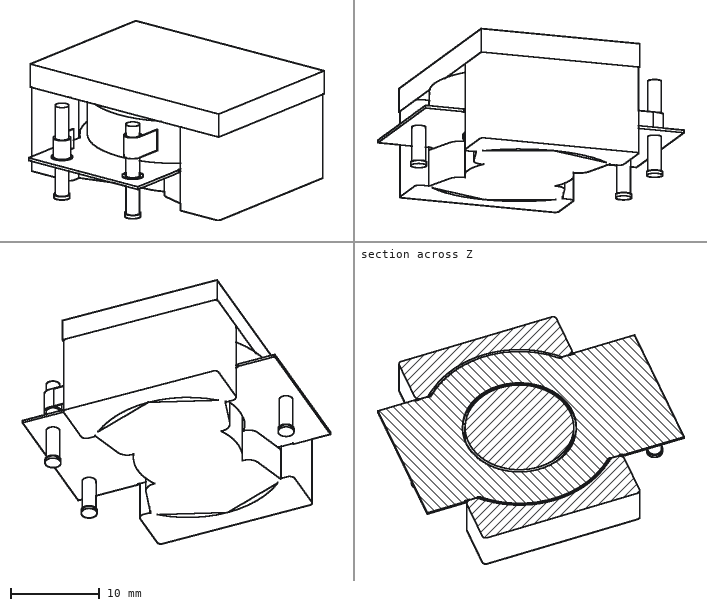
import cadquery as cq
import math

core_length = 27.3
core_width = 19.0
leg_height = 10.0
plate_thickness = 2.75
outer_corner_radius = 0.45

leg_bore_radius = 11.2
mouth_width = 15.52
leg_tip_radius = 0.65
base_height = 4.2
post_radius = 6.15
notch_half_width = 3.0
notch_corner_radius = 1.4
base_slope = math.radians(16)
lip_y = 6.6

board_width = 15.8
board_front_y = -16.9
board_back_y = 14.1
board_bottom = 4.5
board_top = 4.82
board_neck_width = mouth_width
board_disc_clearance = 0.2
board_disc_radius = leg_bore_radius - board_disc_clearance

winding_outer_radius = 10.15
winding_top = 9.8
post_clearance = 0.25
bore_radius = post_radius + post_clearance

pin_radius = 0.78
pin_top = 11.0
foot_radius = 0.9
foot_height = 0.4
collar_radius = 1.2
collar_bore_radius = 0.82
collar_height = 0.07
front_pin_x = 5.12
front_pin_y = -14.36
back_pin_y = 12.06

lead_radius = 1.0
lead_tail_thickness = 0.12
lead_end_y = -11.15
low_lead_bottom = board_top
low_lead_top = 7.12
high_lead_bottom = 7.2
high_lead_top = 9.7


def cylinder(radius, bottom, top, x=0, y=0):
    return cq.Workplane("XY", origin=(x, y, bottom)).circle(radius).extrude(top - bottom)


def block(x_min, x_max, y_min, y_max, bottom, top):
    size = (x_max - x_min, y_max - y_min, top - bottom)
    return cq.Workplane("XY", origin=(x_min, y_min, bottom)).box(*size, centered=False)


def make_legs():
    """Two outer legs: inner faces on one bore, open to a mouth with rounded tips."""
    half_mouth = mouth_width / 2
    legs = (
        cq.Workplane("XY")
        .rect(core_length, core_width)
        .extrude(leg_height)
        .edges("|Z")
        .fillet(outer_corner_radius)
        .cut(block(-half_mouth, half_mouth, -core_width / 2, core_width / 2, 0, leg_height))
    )
    tip_zone = cq.selectors.BoxSelector(
        (-half_mouth - leg_tip_radius, -core_width, 0),
        (half_mouth + leg_tip_radius, core_width, leg_height),
    )
    legs = legs.edges("|Z").edges(tip_zone).fillet(leg_tip_radius)
    return legs.cut(cylinder(leg_bore_radius, 0, leg_height))


def make_base():
    """Base web joining the legs: its long edges slope in to a notch at the post."""
    end_x = (leg_bore_radius + leg_tip_radius / 2) * math.cos(math.pi / 4)
    end_y = lip_y + (end_x - notch_half_width) * math.tan(base_slope)
    half_web = (
        cq.Workplane("XY")
        .polyline([
            (end_x, -end_y),
            (notch_half_width, -lip_y),
            (notch_half_width, lip_y),
            (end_x, end_y),
            (leg_bore_radius, 0),
        ])
        .close()
        .extrude(base_height)
        .edges("|Z and <X")
        .fillet(notch_corner_radius)
    )
    return half_web.union(half_web.mirror("YZ"))


def make_core():
    post = cylinder(post_radius, 0, leg_height)
    return make_legs().union(make_base()).union(post)


def make_cover_plate():
    return block(
        -core_length / 2, core_length / 2,
        -core_width / 2, core_width / 2,
        leg_height, leg_height + plate_thickness,
    )


def make_winding():
    outside = cylinder(winding_outer_radius, board_top, winding_top)
    return outside.cut(cylinder(bore_radius, board_top, winding_top))


def make_board():
    """Thin board: wide tabs outside the core, a neck and a disc inside it."""
    half_width = board_width / 2
    half_neck = board_neck_width / 2
    half_core = core_width / 2
    board = cylinder(board_disc_radius, board_bottom, board_top)
    for half, y_min, y_max in [
        (half_width, board_front_y, -half_core),
        (half_neck, -half_core, half_core),
        (half_width, half_core, board_back_y),
    ]:
        board = board.union(block(-half, half, y_min, y_max, board_bottom, board_top))
    return board.cut(cylinder(bore_radius, board_bottom, board_top))


def make_pin(x, y, top):
    """Pin with a wider foot below the board and a thin collar on top of it."""
    pin = cylinder(pin_radius, 0, top, x, y)
    foot = cylinder(foot_radius, 0, foot_height, x, y)
    collar = cylinder(collar_radius, board_top, board_top + collar_height, x, y)
    collar_bore = cylinder(collar_bore_radius, board_top, board_top + collar_height, x, y)
    collar = collar.cut(collar_bore)
    return pin.union(foot).union(collar)


def make_lead(side, bottom, top):
    """Foil wrapped round a front pin, with a flat tail toward the winding."""
    pin_x = side * front_pin_x
    sleeve = cylinder(lead_radius, bottom, top, pin_x, front_pin_y)
    sleeve = sleeve.cut(cylinder(pin_radius, bottom, top, pin_x, front_pin_y))
    tail_center_x = pin_x + side * (lead_radius - lead_tail_thickness / 2)
    tail = block(
        tail_center_x - lead_tail_thickness / 2, tail_center_x + lead_tail_thickness / 2,
        front_pin_y, lead_end_y,
        bottom, top,
    )
    return sleeve.union(tail)


def make_terminal_board():
    terminal_board = make_board().union(make_pin(0, back_pin_y, board_top))
    for side, lead_bottom, lead_top in [
        (-1, low_lead_bottom, low_lead_top),
        (1, high_lead_bottom, high_lead_top),
    ]:
        terminal_board = terminal_board.union(make_pin(side * front_pin_x, front_pin_y, pin_top))
        terminal_board = terminal_board.union(make_lead(side, lead_bottom, lead_top))
    return terminal_board


core = make_core()
cover_plate = make_cover_plate()
winding = make_winding()
terminal_board = make_terminal_board()

result = cq.Compound.makeCompound([
    core.solids().val(),
    cover_plate.solids().val(),
    winding.solids().val(),
    terminal_board.solids().val(),
])